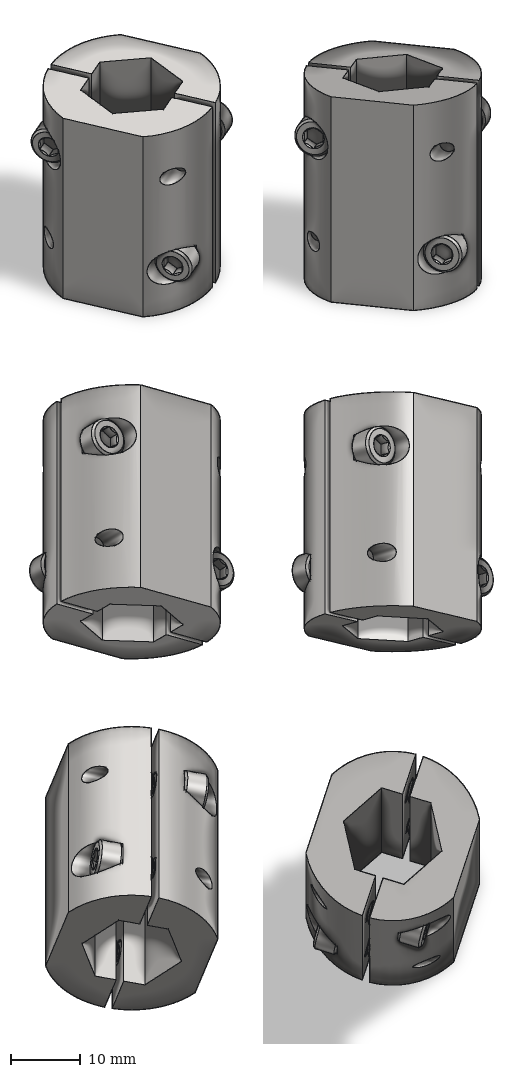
import cadquery as cq
import math

length = 31.75
outer_radius = 12.7
across_outer_flats = 22.22
bore_across_flats = 12.8
split_gap = 1.1

screw_x = 9.55
screw_z = 7.95
seat_offset = 4.57

head_diameter = 5.75
head_height = 3.55
head_chamfer = 0.35
socket_across_flats = 2.8
socket_depth = 1.75
shank_length = 9.52
thread_diameter = 3.5
core_diameter = 2.48
thread_pitch = 0.8
thread_crest_width = 0.1
thread_turns = 10
thread_root_overlap = 0.05
flank_angle = 30.0
turns_before_split = 4.5

clearance_diameter = 3.8
tapped_diameter = 2.7

socket_corner_diameter = socket_across_flats / math.cos(math.radians(30))
bore_corner_diameter = bore_across_flats / math.cos(math.radians(30))


def make_thread():
    """Right-handed helical ridge around +Z, for a screw whose head seat is at Z = 0."""
    inner_radius = core_diameter / 2 - thread_root_overlap
    crest_radius = thread_diameter / 2
    half_crest = thread_crest_width / 2
    half_root = half_crest + (crest_radius - inner_radius) * math.tan(math.radians(flank_angle))
    start = seat_offset - turns_before_split * thread_pitch
    path = cq.Wire.makeHelix(
        thread_pitch, thread_turns * thread_pitch, core_diameter / 2, center=cq.Vector(0, 0, start)
    )
    return (
        cq.Workplane("XZ")
        .moveTo(inner_radius, start - half_root)
        .lineTo(crest_radius, start - half_crest)
        .lineTo(crest_radius, start + half_crest)
        .lineTo(inner_radius, start + half_root)
        .close()
        .sweep(cq.Workplane(path), isFrenet=True)
    )


def lay_along_y(body):
    """Turn a body from +Z to +Y and move its seat plane to Y = -seat_offset."""
    return body.rotate((0, 0, 0), (1, 0, 0), -90).translate((0, -seat_offset, 0))


def make_screw():
    """Screw along +Y, its head seat at Y = -seat_offset and its axis through the origin."""
    head = (
        cq.Workplane("XY")
        .circle(head_diameter / 2)
        .extrude(-head_height)
        .faces("<Z or >Z")
        .chamfer(head_chamfer)
    )
    socket = (
        cq.Workplane("XY")
        .workplane(offset=-head_height)
        .polygon(6, socket_corner_diameter)
        .extrude(socket_depth)
        .rotate((0, 0, 0), (0, 0, 1), 90)
    )
    rim_depth = (socket_corner_diameter - socket_across_flats) / 2
    socket_rim = (
        cq.Workplane("XY")
        .workplane(offset=-head_height)
        .circle(socket_corner_diameter / 2)
        .workplane(offset=rim_depth)
        .circle(socket_across_flats / 2)
        .loft()
    )
    core = cq.Workplane("XY").circle(core_diameter / 2).extrude(shank_length)
    screw = head.cut(socket).cut(socket_rim).union(core).union(make_thread())
    return lay_along_y(screw)


def make_tap():
    """Cutter for a threaded through hole: the tap-drill bore with the screw's thread around it."""
    drill = cq.Workplane("XY").circle(tapped_diameter / 2).extrude(seat_offset + outer_radius)
    return lay_along_y(drill.union(make_thread()))


def flip(body):
    """Turn a body half a turn about X, from the -Y half to the +Y half."""
    return body.rotate((0, 0, 0), (1, 0, 0), 180)


def place_pair(body):
    """Copies of a body on the two screw axes whose heads sit in the -Y half."""
    return [body.translate((side * screw_x, 0, -side * screw_z)) for side in (-1, 1)]


def hole_along_y(diameter, x, z, y_start, y_end):
    """Round cutter from y_start to y_end (y_start < y_end)."""
    return (
        cq.Workplane("XZ", origin=(x, y_start, z)).circle(diameter / 2).extrude(y_start - y_end)
    )


def make_half():
    """The -Y clamp half with its counterbores, clearance holes and threaded holes."""
    half_flat = across_outer_flats / 2
    half = cq.Workplane("XY").circle(outer_radius).extrude(length / 2, both=True)
    keep_depth = half_flat - split_gap / 2
    keep = cq.Workplane("XY").box(2 * outer_radius, keep_depth, length)
    half = half.intersect(keep.translate((0, -split_gap / 2 - keep_depth / 2, 0)))

    bore = cq.Workplane("XY").polygon(6, bore_corner_diameter).extrude(length, both=True)
    half = half.cut(bore.rotate((0, 0, 0), (0, 0, 1), 90))

    for side in (-1, 1):
        x = side * screw_x
        z = -side * screw_z
        half = half.cut(hole_along_y(head_diameter, x, z, -outer_radius, -seat_offset))
        half = half.cut(hole_along_y(clearance_diameter, x, z, -outer_radius, 0))

    for tap in place_pair(make_tap()):
        half = half.cut(flip(tap))
    return half


front_half = make_half()
back_half = flip(front_half)
front_screws = place_pair(make_screw())
back_screws = [flip(front_screw) for front_screw in front_screws]

bodies = [front_half, back_half, *front_screws, *back_screws]
result = cq.Compound.makeCompound([body.solids().val() for body in bodies])